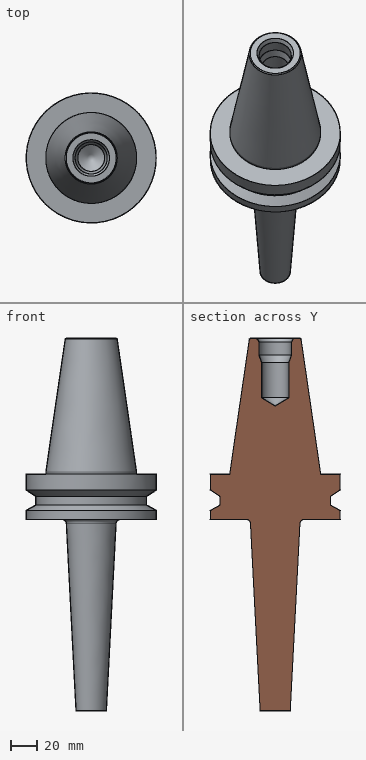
import cadquery as cq
import math

total_length = 286.8
flange_diameter = 100.0
flange_radius = flange_diameter / 2
flange_top = 182.0
flange_bottom = 147.0

upper_rim_height = 12.3
lower_rim_height = 7.2
groove_radius = 42.7
groove_upper_slope = 5.0
groove_lower_slope = 4.0

shank_base_radius = 35.0
shank_collar_height = 1.5
shank_end_radius = 20.0
shank_end_chamfer = 1.0

nose_tip_radius = 11.8
nose_base_radius = 19.2
nose_fillet = 3.2

bore_mouth_radius = 14.0
pilot_radius = 12.3
mouth_cone_depth = 3.2
pilot_depth = 13.2
step_cone_depth = 5.7
inner_bore_radius = 10.3
inner_bore_depth = 46.0
drill_tip_angle = 118.0


def make_body():
    """Revolve the outer outline, from the nose tip up to the shank end."""
    upper_rim_bottom = flange_top - upper_rim_height
    lower_rim_top = flange_bottom + lower_rim_height
    fillet_start = flange_bottom - nose_fillet
    arc_offset = nose_fillet * (1 - math.sqrt(0.5))
    arc_middle = (nose_base_radius + arc_offset, flange_bottom - arc_offset)
    return (
        cq.Workplane("XZ")
        .moveTo(0, 0)
        .lineTo(nose_tip_radius, 0)
        .lineTo(nose_base_radius, fillet_start)
        .threePointArc(arc_middle, (nose_base_radius + nose_fillet, flange_bottom))
        .lineTo(flange_radius, flange_bottom)
        .lineTo(flange_radius, lower_rim_top)
        .lineTo(groove_radius, lower_rim_top + groove_lower_slope)
        .lineTo(groove_radius, upper_rim_bottom - groove_upper_slope)
        .lineTo(flange_radius, upper_rim_bottom)
        .lineTo(flange_radius, flange_top)
        .lineTo(shank_base_radius, flange_top)
        .lineTo(shank_base_radius, flange_top + shank_collar_height)
        .lineTo(shank_end_radius, total_length - shank_end_chamfer)
        .lineTo(shank_end_radius - shank_end_chamfer, total_length)
        .lineTo(0, total_length)
        .close()
        .revolve(360, (0, 0, 0), (0, 1, 0))
    )


def make_bore():
    """Revolve the bore: conical mouth, pilot, conical step and conical bottom."""
    pilot_bottom = total_length - pilot_depth
    inner_bottom = total_length - inner_bore_depth
    tip_depth = inner_bore_radius / math.tan(math.radians(drill_tip_angle / 2))
    return (
        cq.Workplane("XZ")
        .moveTo(0, total_length)
        .lineTo(bore_mouth_radius, total_length)
        .lineTo(pilot_radius, total_length - mouth_cone_depth)
        .lineTo(pilot_radius, pilot_bottom)
        .lineTo(inner_bore_radius, pilot_bottom - step_cone_depth)
        .lineTo(inner_bore_radius, inner_bottom)
        .lineTo(0, inner_bottom - tip_depth)
        .close()
        .revolve(360, (0, 0, 0), (0, 1, 0))
    )


result = make_body().cut(make_bore())